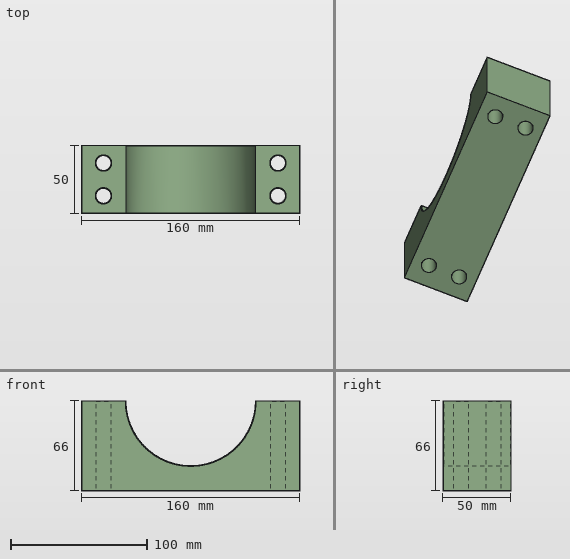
import cadquery as cq

length = 160.0
width = 50.0
height = 66.0

seat_radius = 47.5
seat_chamfer = 0.5

hole_diameter = 11.0
hole_chamfer = 0.5
hole_spacing_x = 128.0
hole_spacing_y = 24.0


def make_block():
    return cq.Workplane("XY").box(length, width, height).translate((0, 0, -height / 2))


def make_seat_cutter():
    """Cylinder along Y, widened by a chamfer at both ends."""
    half_width = width / 2
    rim_radius = seat_radius + seat_chamfer
    return (
        cq.Workplane("XY")
        .moveTo(0, -half_width)
        .lineTo(rim_radius, -half_width)
        .lineTo(seat_radius, -half_width + seat_chamfer)
        .lineTo(seat_radius, half_width - seat_chamfer)
        .lineTo(rim_radius, half_width)
        .lineTo(0, half_width)
        .close()
        .revolve(360, (0, 0, 0), (0, 1, 0))
    )


def cut_bolt_holes(body):
    """Through holes with a small chamfer at the split face."""
    return (
        body.faces(">Z")
        .workplane(origin=(0, 0, 0))
        .rarray(hole_spacing_x, hole_spacing_y, 2, 2)
        .cskHole(hole_diameter, hole_diameter + 2 * hole_chamfer, 90)
    )


result = cut_bolt_holes(make_block().cut(make_seat_cutter()))